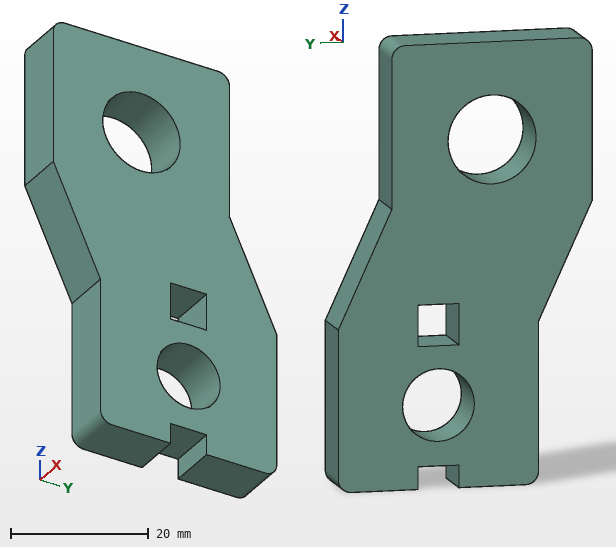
import cadquery as cq

thickness = 8.0
height = 65.8
total_width = 38.0
body_width = 30.0
corner_radius = 2.0

offset = total_width - body_width
slope_height = 17.5
slope_bottom = (height - slope_height) / 2
slope_top = slope_bottom + slope_height

upper_center_y = body_width / 2
lower_center_y = upper_center_y + offset
upper_hole_diameter = 13.15
upper_hole_z = 51.3
lower_hole_diameter = 10.7
lower_hole_z = 12.4
window_size = 6.1
window_z = 24.2
notch_depth = 3.35


def plate():
    """Cranked plate with its four outer corners rounded."""
    outline = [
        (offset, 0),
        (total_width, 0),
        (total_width, slope_bottom),
        (body_width, slope_top),
        (body_width, height),
        (0, height),
        (0, slope_top),
        (offset, slope_bottom),
    ]
    body = cq.Workplane("YZ").polyline(outline).close().extrude(thickness)
    end_corners = body.faces("<Z or >Z").edges("|X")
    return end_corners.fillet(corner_radius)


def round_cutter(y, z, diameter):
    return cq.Workplane("YZ").center(y, z).circle(diameter / 2).extrude(thickness)


def rectangular_cutter(y, z, width, cut_height):
    return cq.Workplane("YZ").center(y, z).rect(width, cut_height).extrude(thickness)


result = (
    plate()
    .cut(round_cutter(upper_center_y, upper_hole_z, upper_hole_diameter))
    .cut(round_cutter(lower_center_y, lower_hole_z, lower_hole_diameter))
    .cut(rectangular_cutter(lower_center_y, window_z, window_size, window_size))
    .cut(rectangular_cutter(lower_center_y, notch_depth / 2, window_size, notch_depth))
)